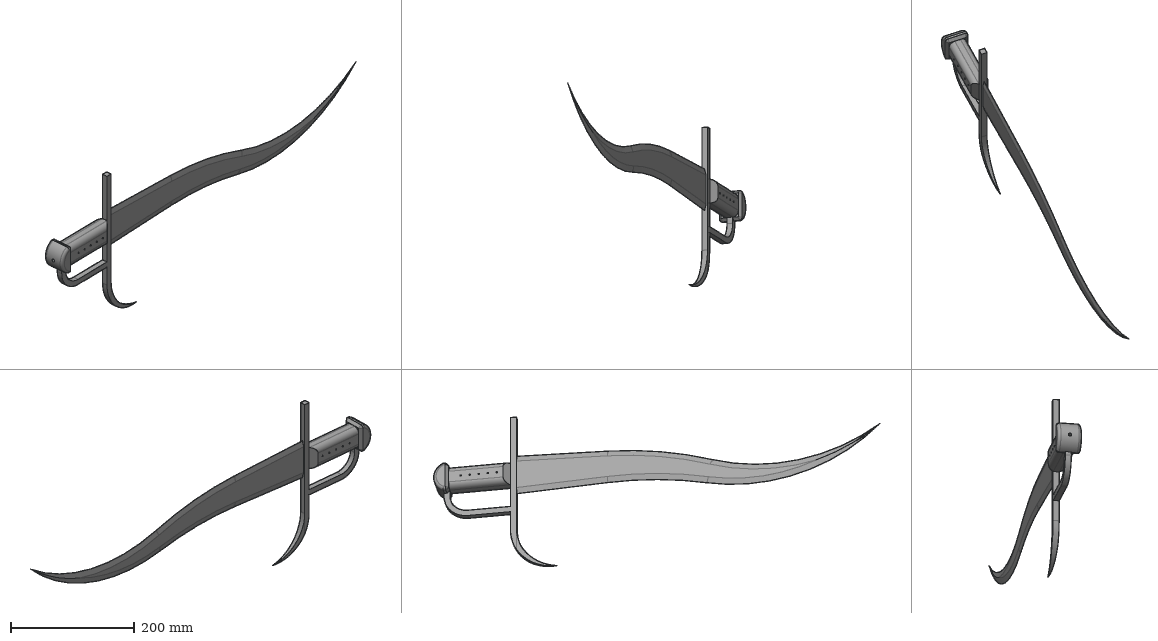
import cadquery as cq
import math


blade_thickness = 5.0
bar_size = 2 * blade_thickness

blade_root_height = 70.0
blade_bevel_width = 10.0
blade_tip = (610.0, 35.0)
taper_end_y = 160.0
spine_taper_end = (taper_end_y, 29.5)
spine_inflection = (333.0, -4.0)
edge_taper_end = (taper_end_y, -29.5)
edge_inflection = (324.0, -46.0)
bevel_cutter_overrun = 1.5

guard_top_z = 105.0
hook_tip_y = 76.5
hook_tip_z = -175.0
hook_tip_width = 1.0
hook_outer_start_z = -104.5
hook_inner_start_z = -101.5

bow_bottom_z = -70.0
bow_outer_radius = 40.0

grip_length = 100.0
grip_width = 30.0
grip_height = 40.0
grip_round = (grip_width - bar_size) / 2

pin_diameter = 2.0
pin_count = 5
first_pin_y = -20.5
last_pin_y = -80.0
pin_pitch = (last_pin_y - first_pin_y) / (pin_count - 1)

pommel_chamfer = 4.85
pommel_width = grip_width + 2 * pommel_chamfer
pommel_height = 50.0
pommel_length = 25.0
pommel_straight_length = 9.0
pommel_round = 5.0
pommel_hole_diameter = 5.0
pommel_hole_depth = 10.0

pommel_front_y = -grip_length
pommel_rear_y = pommel_front_y - pommel_length
dome_start_y = pommel_front_y - pommel_straight_length


def plate(outline, width):
    """Close a YZ outline and extrude it to a width centred on X = 0."""
    return outline.close().extrude(width / 2, both=True)


def symmetric_plan(half_outline):
    """Tall prism over a plan outline given as (half width, y) points, mirrored about X = 0."""
    left = [(-x, y) for x, y in reversed(half_outline)]
    tall = 2 * abs(hook_tip_z) + bar_size
    return cq.Workplane("XY").polyline(half_outline + left).close().extrude(tall / 2, both=True)


def blade_side(root_z, taper_end, inflection):
    """Open wire along one long side of the blade, from the guard to the tip."""
    return (
        cq.Workplane("YZ")
        .moveTo(bar_size, root_z)
        .lineTo(*taper_end)
        .tangentArcPoint(inflection, relative=False)
        .tangentArcPoint(blade_tip, relative=False)
        .wire()
    )


def bevel_cutter(side, root_z, face):
    """Wedge swept along a blade side: what lies beyond its bevel on one face (+1 or -1)."""
    inward = -math.copysign(1, root_z)
    depth = face * blade_thickness / 2
    bevel_z = inward * blade_bevel_width
    outside_z = -inward * bevel_cutter_overrun
    return (
        cq.Workplane("XZ", origin=(0, bar_size, root_z))
        .polyline([(0, 0), (depth, bevel_z), (2 * depth, bevel_z), (2 * depth, outside_z), (0, outside_z)])
        .close()
        .sweep(side, transition="round")
    )


def make_blade():
    """Flat blade with bevels that come to a sharp edge along both long sides."""
    spine_root_z = blade_root_height / 2
    edge_root_z = -blade_root_height / 2
    spine = blade_side(spine_root_z, spine_taper_end, spine_inflection)
    edge = blade_side(edge_root_z, edge_taper_end, edge_inflection)
    root = cq.Edge.makeLine(spine.val().startPoint(), edge.val().startPoint())
    outline = cq.Wire.assembleEdges(spine.val().Edges() + edge.val().Edges() + [root])
    blade = cq.Workplane("YZ").add(outline).toPending().extrude(blade_thickness / 2, both=True)
    for face in (1, -1):
        blade = blade.cut(bevel_cutter(spine, spine_root_z, face))
        blade = blade.cut(bevel_cutter(edge, edge_root_z, face))
    return blade


def make_guard_bar():
    """Bar and hook; the hook thins to a point and narrows in X ahead of the bar."""
    drop = hook_outer_start_z - hook_tip_z
    outer_radius = (hook_tip_y**2 + drop**2) / (2 * hook_tip_y)
    middle = math.atan2(drop, outer_radius - hook_tip_y) / 2
    outer_middle = (
        outer_radius * (1 - math.cos(middle)),
        hook_outer_start_z - outer_radius * math.sin(middle),
    )
    bar = plate(
        cq.Workplane("YZ")
        .moveTo(bar_size, guard_top_z)
        .lineTo(bar_size, hook_inner_start_z)
        .tangentArcPoint((hook_tip_y, hook_tip_z), relative=False)
        .threePointArc(outer_middle, (0, hook_outer_start_z))
        .lineTo(0, guard_top_z),
        bar_size,
    )
    plan = symmetric_plan([(bar_size / 2, 0), (bar_size / 2, bar_size), (hook_tip_width / 2, hook_tip_y)])
    return bar.intersect(plan)


def make_knuckle_bow():
    """Bar running back from the guard and turning up into the pommel."""
    rear_y = pommel_front_y - bar_size
    bend_y = rear_y + bow_outer_radius
    bend_z = bow_bottom_z + bow_outer_radius
    inner_z = bow_bottom_z + bar_size
    end_z = -grip_height / 2
    return plate(
        cq.Workplane("YZ")
        .moveTo(0, bow_bottom_z)
        .lineTo(bend_y, bow_bottom_z)
        .tangentArcPoint((rear_y, bend_z), relative=False)
        .lineTo(rear_y, end_z)
        .lineTo(pommel_front_y, end_z)
        .lineTo(pommel_front_y, bend_z)
        .tangentArcPoint((bend_y, inner_z), relative=False)
        .lineTo(0, inner_z),
        bar_size,
    )


def make_pommel():
    """Domed block, rounded along its sides and chamfered around its front face."""
    half_height = pommel_height / 2
    pommel = plate(
        cq.Workplane("YZ")
        .moveTo(pommel_front_y, -half_height)
        .lineTo(dome_start_y, -half_height)
        .threePointArc((pommel_rear_y, 0), (dome_start_y, half_height))
        .lineTo(pommel_front_y, half_height),
        pommel_width,
    )
    pommel = pommel.faces("<X or >X").edges("not(>Y)").fillet(pommel_round)
    pommel = pommel.faces(">Y").chamfer(pommel_chamfer)
    hole = (
        cq.Workplane("XZ", origin=(0, pommel_rear_y, 0))
        .circle(pommel_hole_diameter / 2)
        .extrude(-pommel_hole_depth)
    )
    return pommel.cut(hole)


def make_hilt():
    """Guard, knuckle bow and pommel as one continuous body."""
    return make_guard_bar().union(make_knuckle_bow()).union(make_pommel())


def make_pins():
    """Round pins across the grip, flush with both of its sides."""
    pins = []
    for index in range(pin_count):
        pin_y = first_pin_y + index * pin_pitch
        pin = cq.Workplane("YZ", origin=(0, pin_y, 0)).circle(pin_diameter / 2)
        pins.append(pin.extrude(grip_width / 2, both=True))
    return pins


def make_grip(pins):
    """Rounded bar that tapers in X to the guard's width, drilled for the pins."""
    grip = (
        cq.Workplane("XZ")
        .rect(grip_width, grip_height)
        .extrude(grip_length)
        .edges("|Y")
        .fillet(grip_round)
    )
    bevel_length = (grip_width - bar_size) / 2
    plan = symmetric_plan(
        [
            (grip_width / 2, -grip_length),
            (grip_width / 2, -bevel_length),
            (bar_size / 2, 0),
        ]
    )
    grip = grip.intersect(plan)
    for pin in pins:
        grip = grip.cut(pin)
    return grip


blade = make_blade()
hilt = make_hilt()
pins = make_pins()
grip = make_grip(pins)

result = cq.Compound.makeCompound(
    [blade.val(), hilt.val(), grip.val(), *[pin.val() for pin in pins]]
)